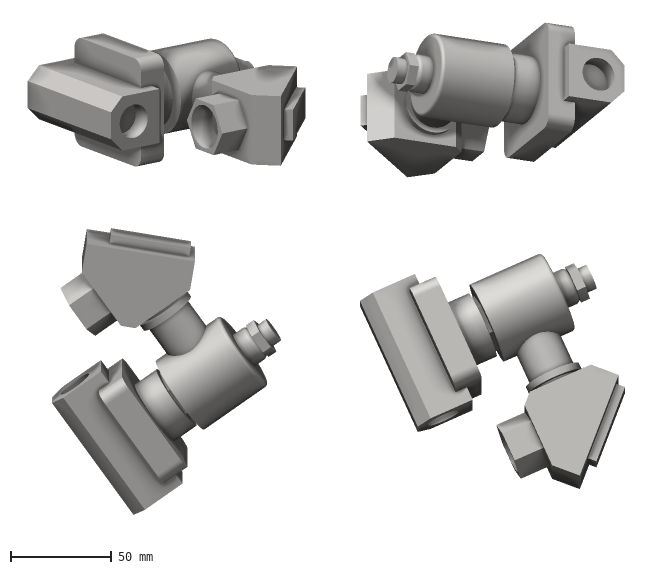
import cadquery as cq
import math


block_length = 70.0
block_height = 28.0
block_front = -14.0
block_back = 16.0
block_chamfer = 7.0
port_diameter = 17.3
port_depth = 10.0
flange_size = 56.0
flange_radius = 6.0
flange_front = 9.8
flange_back = 24.0
neck_diameter = 34.4
neck_back = 37.2

nut_face_diameter = 26.0
nut_face_thickness = 0.4
base_nut_flats = 25.7
base_nut_front = neck_back + nut_face_thickness
coil_diameter = 42.0
coil_front = 39.5
coil_back = 78.6
coil_fillet = 1.8
boss_diameter = 19.0
boss_back = 86.65
boss_fillet = 2.5
top_nut_flats = 17.1
top_nut_back = 91.4
stud_diameter = 13.0
stud_back = 96.6

arm_y = 58.4
arm_diameter = 24.0
arm_end = 37.6
collar_diameter = 29.0
collar_end = 41.2
spigot_diameter = 22.0
spigot_end = 43.66

connector_left = spigot_end
connector_front = 38.1
connector_height = 36.0
connector_reach = 49.0
connector_inner_chamfer = 5.2
connector_tip = 10.4
lid_length = 40.3
lid_width = 16.0
lid_thickness = 4.5
lid_offset = 4.3
gland_x = 64.0
gland_flats = 25.9
gland_length = 15.6
gland_bore = 22.2
gland_bore_depth = 13.0


def disc(diameter, y_start, y_end):
    """Cylinder on the valve axis."""
    plane = cq.Plane(origin=(0, y_start, 0), xDir=(0, 0, 1), normal=(0, 1, 0))
    return cq.Workplane(plane).circle(diameter / 2).extrude(y_end - y_start)


def hexagon(across_flats, x, y_start, y_end):
    """Hexagonal prism along Y with corners pointing along X."""
    across_corners = across_flats / math.cos(math.radians(30))
    plane = cq.Workplane("XZ", origin=(x, y_start, 0))
    return plane.polygon(6, across_corners).extrude(y_start - y_end)


def arm_disc(diameter, x_start, x_end):
    """Cylinder on the side arm axis."""
    plane = cq.Plane(origin=(x_start, arm_y, 0), xDir=(0, 0, 1), normal=(1, 0, 0))
    return cq.Workplane(plane).circle(diameter / 2).extrude(x_end - x_start)


def make_valve_body():
    block = (
        cq.Workplane("XY")
        .box(block_length, block_back - block_front, block_height)
        .translate((0, (block_front + block_back) / 2, 0))
        .faces("<Y")
        .edges("|X")
        .chamfer(block_chamfer)
    )
    flange = (
        cq.Workplane("XY")
        .box(flange_size, flange_back - flange_front, flange_size)
        .translate((0, (flange_front + flange_back) / 2, 0))
        .edges("|Y")
        .fillet(flange_radius)
    )
    body = block.union(flange).union(disc(neck_diameter, flange_back, neck_back))
    for side in (-1, 1):
        port_mouth = cq.Workplane("YZ", origin=(side * block_length / 2, 0, 0))
        body = body.cut(port_mouth.circle(port_diameter / 2).extrude(-side * port_depth))
    return body


def make_coil():
    winding = disc(coil_diameter, coil_front, coil_back).faces(">Y").edges().fillet(coil_fillet)
    boss = disc(boss_diameter, coil_back, boss_back).faces(">Y").edges().fillet(boss_fillet)
    parts = [
        disc(nut_face_diameter, neck_back, base_nut_front),
        hexagon(base_nut_flats, 0, base_nut_front, coil_front),
        boss,
        hexagon(top_nut_flats, 0, boss_back, top_nut_back),
        disc(stud_diameter, top_nut_back, stud_back),
        arm_disc(arm_diameter, 0, arm_end),
        arm_disc(collar_diameter, arm_end, collar_end),
        arm_disc(spigot_diameter, collar_end, spigot_end),
    ]
    coil = winding
    for piece in parts:
        coil = coil.union(piece)
    return coil


def make_connector():
    straight_side = connector_reach - connector_tip
    shell = (
        cq.Workplane("XY")
        .polyline(
            [
                (connector_inner_chamfer, 0),
                (straight_side, 0),
                (connector_reach, connector_tip),
                (connector_tip, connector_reach),
                (0, straight_side),
                (0, connector_inner_chamfer),
            ]
        )
        .close()
        .extrude(connector_height / 2, both=True)
        .translate((connector_left, connector_front, 0))
    )
    face_middle = (connector_reach + connector_tip) / 2
    lid = (
        cq.Workplane("XY")
        .box(lid_thickness, lid_length, lid_width)
        .translate((lid_thickness / 2, lid_offset, 0))
        .rotate((0, 0, 0), (0, 0, 1), 45)
        .translate((connector_left + face_middle, connector_front + face_middle, 0))
    )
    gland_front = connector_front - gland_length
    gland = hexagon(gland_flats, gland_x, gland_front, connector_front)
    gland_mouth = cq.Workplane("XZ", origin=(gland_x, gland_front, 0))
    bore = gland_mouth.circle(gland_bore / 2).extrude(-gland_bore_depth)
    return shell.union(lid).union(gland).cut(bore)


valve_body = make_valve_body()
coil = make_coil()
connector = make_connector()

result = cq.Compound.makeCompound([valve_body.val(), coil.val(), connector.val()])